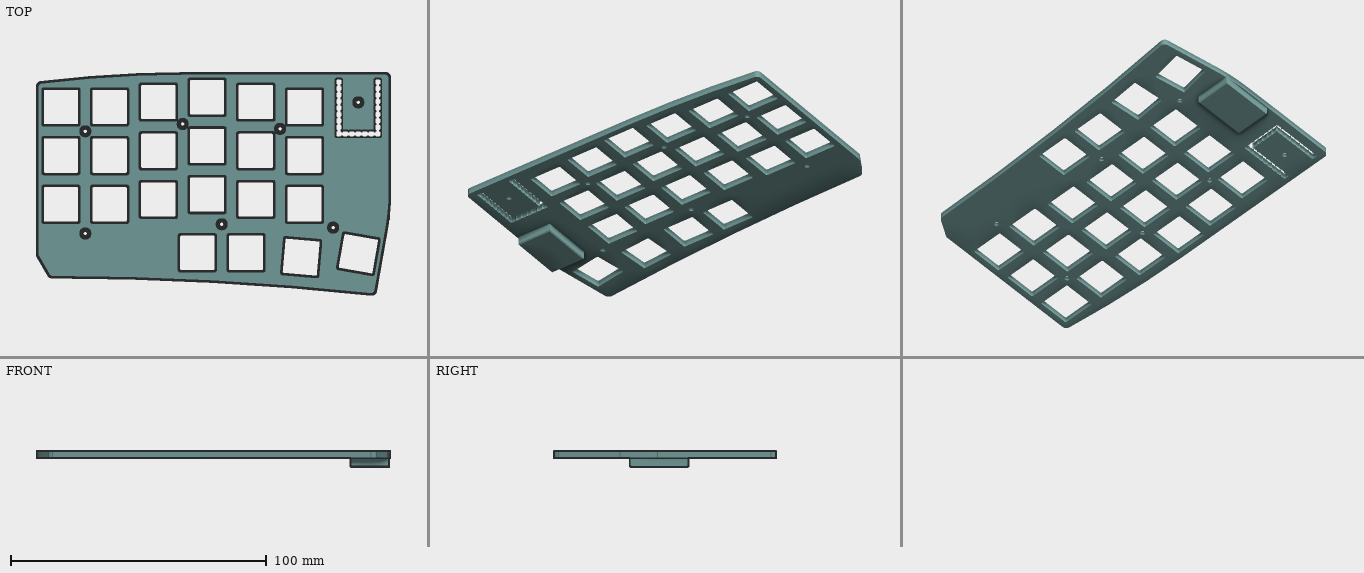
import cadquery as cq
import math

plate_width = 138.4
plate_depth = 86.9
plate_thickness = 3.0
pad_height = 3.5
corner_radius = 2.0
chamfer_width = 0.4
chamfer_height = 0.2
pad_chamfer = 0.4

left = -plate_width / 2
right = plate_width / 2
back = plate_depth / 2
front = -plate_depth / 2
back_arc_start_x = -9.5
back_left_corner_y = 39.7
side_bend_start_y = -3.0
side_bend_radius = 85.0
side_bend_angle = 10.0
front_left_y = -36.7
front_left_x = -64.15
front_left_cut_height = 8.75
front_right_corner_y = front - 0.18

key_pitch = 19.05
cutout_size = 14.0
cutout_corner_radius = 0.5
row_count = 3
grid_center_x = -12.05
grid_center_y = 11.05
stagger_step = key_pitch / 10
column_staggers = [0, 0, 1, 2, 1, 0]

thumb_pair_x = 3.2
thumb_pair_y = -26.96
tilted_thumb_keys = [(34.3, -28.66, 5.0), (56.68, -27.32, 10.0)]

screw_diameter = 2.0
head_diameter = 3.6
head_depth = 1.0
screw_chamfer = 0.25

pin_pitch = 2.54
pin_cell_chamfer = 0.4
side_pin_count = 9
front_pin_count = 7
controller_x = 56.64
controller_back_y = 41.15
controller_screw_y = 31.9

pad_width = 15.2
pad_depth = 23.0
pad_right = 68.7
pad_center_y = -2.3


def column_x(column):
    """X of a key column; fractional values fall between columns."""
    return grid_center_x + (column - (len(column_staggers) - 1) / 2) * key_pitch


def row_y(row, stagger=0.0):
    """Y of a key row, counted from the front; fractional values fall between rows."""
    return grid_center_y + (row - (row_count - 1) / 2) * key_pitch + stagger * stagger_step


def make_plate():
    """Outline with straight back and left edges, curved elsewhere, and rounded corners."""
    tilt = math.radians(side_bend_angle)
    bend_end_x = right - side_bend_radius * (1 - math.cos(tilt))
    bend_end_y = side_bend_start_y - side_bend_radius * math.sin(tilt)
    front_right_x = bend_end_x - (bend_end_y - front_right_corner_y) * math.tan(tilt)
    front_left_cut_y = front_left_y + front_left_cut_height

    outline = (
        cq.Workplane("XY")
        .moveTo(right, back)
        .lineTo(back_arc_start_x, back)
        .tangentArcPoint((left, back_left_corner_y), relative=False)
        .lineTo(left, front_left_cut_y)
        .lineTo(front_left_x, front_left_y)
    )
    sagging = front_left_y - front_right_corner_y
    run = front_right_x - front_left_x
    front_radius = (run**2 + sagging**2) / (2 * sagging)
    half_angle = math.atan2(run, front_radius - sagging) / 2
    front_middle = (
        front_left_x + front_radius * math.sin(half_angle),
        front_left_y - front_radius * (1 - math.cos(half_angle)),
    )
    outline = (
        outline
        .threePointArc(front_middle, (front_right_x, front_right_corner_y))
        .lineTo(bend_end_x, bend_end_y)
        .tangentArcPoint((right, side_bend_start_y), relative=False)
        .close()
    )
    plate = outline.extrude(plate_thickness)

    corners = [
        (right, back),
        (left, back_left_corner_y),
        (left, front_left_cut_y),
        (front_left_x, front_left_y),
        (front_right_x, front_right_corner_y),
    ]
    for x, y in corners:
        nearest = cq.selectors.NearestToPointSelector((x, y, plate_thickness / 2))
        plate = plate.edges("|Z").edges(nearest).fillet(corner_radius)
    return plate


def key_positions():
    """Center x, center y and clockwise tilt of every key."""
    keys = [
        (column_x(column), row_y(row, stagger), 0.0)
        for column, stagger in enumerate(column_staggers)
        for row in range(row_count)
    ]
    thumb_pair = [(thumb_pair_x + side * key_pitch / 2, thumb_pair_y, 0.0) for side in (-1, 1)]
    return keys + thumb_pair + tilted_thumb_keys


def make_key_cutter(x, y, tilt):
    """Square through-cutter with rounded corners."""
    shaft = (
        cq.Workplane("XY")
        .rect(cutout_size, cutout_size)
        .extrude(plate_thickness)
        .edges("|Z")
        .fillet(cutout_corner_radius)
    )
    return shaft.rotate((0, 0, 0), (0, 0, 1), -tilt).translate((x, y, 0))


def screw_positions():
    """Center x and center y of every screw hole."""
    between_rows = row_count - 1.5
    return [
        (column_x(0.5), row_y(between_rows)),
        (column_x(2.5), row_y(between_rows, 1.5)),
        (column_x(4.5), row_y(between_rows, 0.5)),
        (column_x(0.5), -19.4),
        (thumb_pair_x, -15.8),
        (46.8, -17.1),
        (controller_x, controller_screw_y),
    ]


def make_screw_cutter(x, y):
    """Stepped hole with chamfered rims at the top face and at the head floor."""
    hole_radius = screw_diameter / 2
    head_radius = head_diameter / 2
    head_floor = plate_thickness - head_depth
    profile = [
        (0, 0),
        (hole_radius, 0),
        (hole_radius, head_floor - screw_chamfer),
        (hole_radius + screw_chamfer, head_floor),
        (head_radius, head_floor),
        (head_radius, plate_thickness - screw_chamfer),
        (head_radius + screw_chamfer, plate_thickness),
        (0, plate_thickness),
    ]
    cutter = cq.Workplane("XZ").polyline(profile).close().revolve(360, (0, 0), (0, 1))
    return cutter.translate((x, y, 0))


def make_controller_cutter():
    """U of pin cells: two side rows joined by a front row."""
    last_row_y = controller_back_y - (side_pin_count - 0.5) * pin_pitch
    side_offset = (front_pin_count - 1) / 2 * pin_pitch
    cells = [
        (controller_x + side * side_offset, last_row_y + index * pin_pitch)
        for side in (-1, 1)
        for index in range(side_pin_count)
    ]
    cells += [
        (controller_x - side_offset + index * pin_pitch, last_row_y)
        for index in range(1, front_pin_count - 1)
    ]
    pin_cell = (
        cq.Workplane("XY")
        .rect(pin_pitch, pin_pitch)
        .extrude(plate_thickness)
        .edges("|Z")
        .chamfer(pin_cell_chamfer)
    )
    cutter = cq.Workplane("XY")
    for x, y in cells:
        cutter = cutter.union(pin_cell.translate((x, y, 0)))
    return cutter


def make_pad():
    """Block under the plate with its left, front and back bottom edges chamfered."""
    pad = cq.Workplane("XY").box(pad_width, pad_depth, pad_height, centered=(False, True, False))
    pad = pad.faces("<Z").edges("<X or <Y or >Y").chamfer(pad_chamfer)
    return pad.translate((pad_right - pad_width, pad_center_y, -pad_height))


result = make_plate()
for key in key_positions():
    result = result.cut(make_key_cutter(*key))
result = result.faces(">Z").edges().chamfer(chamfer_height, chamfer_width)
for screw in screw_positions():
    result = result.cut(make_screw_cutter(*screw))
result = result.cut(make_controller_cutter())
result = result.union(make_pad())